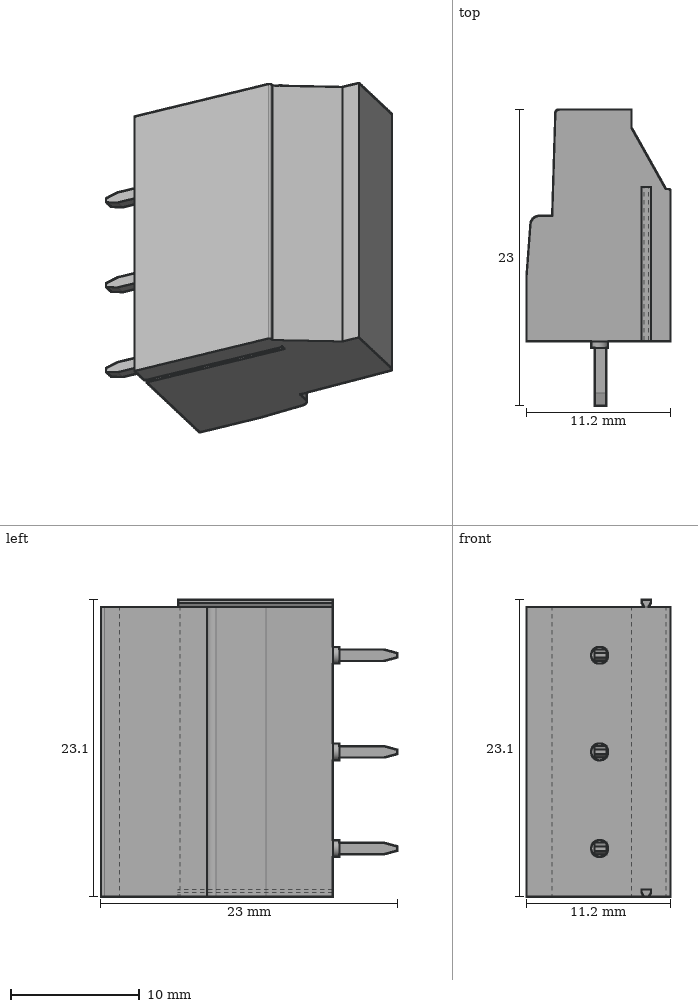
import cadquery as cq

pole_count = 3
pole_pitch = 7.5
body_height = pole_count * pole_pitch
body_width = 11.2
body_depth = 18.0

lower_wall_depth = 5.17
ledge_depth = 9.75
ledge_outer_x = 0.35
ledge_inner_x = 1.98
ledge_radius = 0.74
top_left_x = 2.24
top_left_radius = 0.3
top_right_x = 8.17
slope_top_depth = 16.56
slope_bottom_x = 10.82
slope_bottom_depth = 11.83
right_corner_radius = 0.18

total_height = 23.07
rail_height = total_height - body_height
rail_length = 12.0
rail_center_x = 9.3
rail_width = 0.74
rail_neck_width = 0.37
rail_flare_height = 0.32

pin_center_x = 5.75
pin_width = 0.9
pin_length = 5.0
pin_taper_length = 1.02
pin_tip_thickness = 0.35
collar_center_x = 5.68
collar_diameter = 1.31
collar_length = 0.5


def make_body():
    outline = [
        (0, 0),
        (0, lower_wall_depth),
        (ledge_outer_x, ledge_depth),
        (ledge_inner_x, ledge_depth),
        (top_left_x, body_depth),
        (top_right_x, body_depth),
        (top_right_x, slope_top_depth),
        (slope_bottom_x, slope_bottom_depth),
        (body_width, slope_bottom_depth),
        (body_width, 0),
    ]
    body = cq.Workplane("XY").polyline(outline).close().extrude(body_height)
    rounded_corners = [
        (ledge_outer_x, ledge_depth, ledge_radius),
        (top_left_x, body_depth, top_left_radius),
        (body_width, slope_bottom_depth, right_corner_radius),
    ]
    for x, y, radius in rounded_corners:
        corner_edge = cq.selectors.NearestToPointSelector((x, y, body_height / 2))
        body = body.edges(corner_edge).fillet(radius)
    return body


def make_rail(base_z):
    """Dovetail bar running inward from the pin face, narrow at base_z and wide above."""
    half_neck = rail_neck_width / 2
    half_width = rail_width / 2
    section = [
        (-half_neck, 0),
        (-half_width, rail_flare_height),
        (-half_width, rail_height),
        (half_width, rail_height),
        (half_width, rail_flare_height),
        (half_neck, 0),
    ]
    plane = cq.Workplane("XZ", origin=(rail_center_x, 0, base_z))
    return plane.polyline(section).close().extrude(-rail_length)


def make_pin(center_z):
    """Square blade tapered on its two Z sides, standing on a slightly off-center round collar."""
    half_width = pin_width / 2
    half_tip = pin_tip_thickness / 2
    taper_start = -(pin_length - pin_taper_length)
    side_outline = [
        (-collar_length, -half_width),
        (taper_start, -half_width),
        (-pin_length, -half_tip),
        (-pin_length, half_tip),
        (taper_start, half_width),
        (-collar_length, half_width),
    ]
    blade_plane = cq.Workplane("YZ", origin=(pin_center_x, 0, center_z))
    blade = blade_plane.polyline(side_outline).close().extrude(half_width, both=True)
    collar_plane = cq.Workplane("XZ", origin=(collar_center_x, 0, center_z))
    collar = collar_plane.circle(collar_diameter / 2).extrude(collar_length)
    return blade.union(collar)


result = make_body().cut(make_rail(0)).union(make_rail(body_height))
for pole in range(pole_count):
    result = result.union(make_pin((pole + 0.5) * pole_pitch))